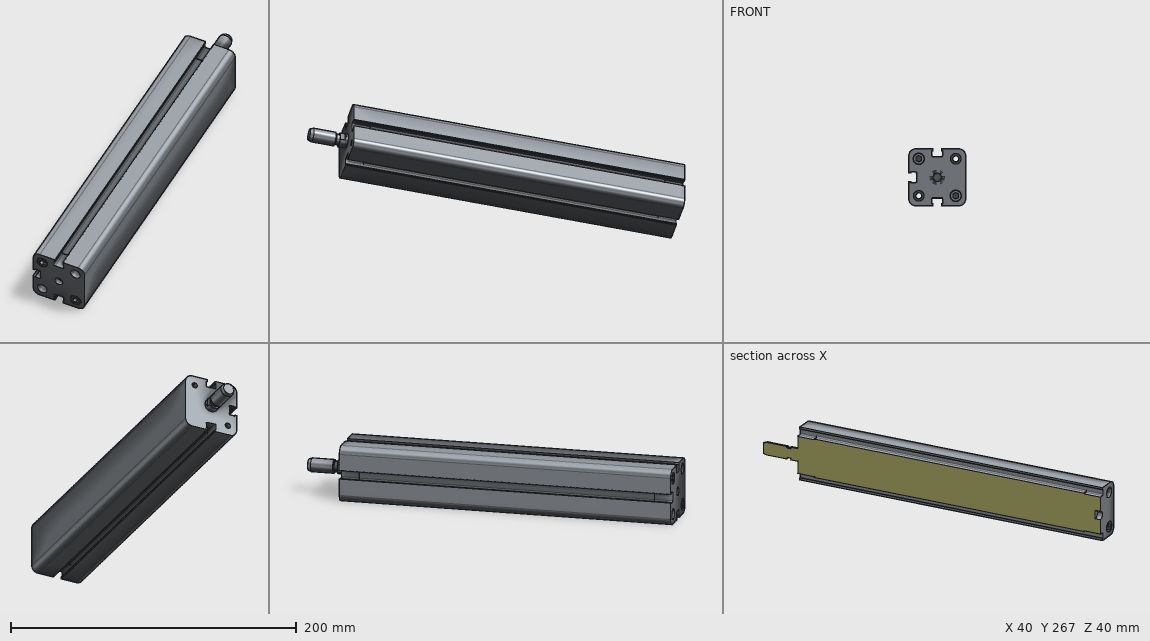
import cadquery as cq

total_length = 267.0
body_width = 40.0
rod_projection = 27.2
cap_length = 13.0
corner_radius = 5.0
body_length = total_length - rod_projection
barrel_length = body_length - 2 * cap_length
rear_y = -total_length / 2
barrel_y = rear_y + cap_length
front_cap_y = barrel_y + barrel_length
front_y = rear_y + body_length
tip_y = total_length / 2

mouth_width = 6.1
channel_width = 7.5
lip_height = 1.5
cap_slot_depth = 6.0
barrel_slot_depth = 5.3
floor_radius = 0.8

fixing_spacing = 26.0
through_diameter = 4.0
counterbore_diameter = 7.5
counterbore_depth = 8.0
screw_pocket_diameter = 8.0
screw_head_diameter = 7.5
screw_gap_depth = 1.0
socket_across_flats = 4.0
socket_depth = 6.0

center_hole_diameter = 6.0
center_hole_depth = 4.0

rod_diameter = 10.0
collar_length = 5.5
flat_start = 1.5
flat_ramp = 0.8
across_flats = 8.0
neck_diameter = 7.5
neck_length = 2.5
land_diameter = 8.0
land_length = 0.8
tip_diameter = 8.0
tip_chamfer_length = 2.5


def along_y(start_y, x=0, z=0):
    """Workplane at start_y with local axes +X and +Z; a negative extrusion runs toward +Y."""
    return cq.Workplane("XZ", origin=(x, start_y, z))


def cylinder(diameter, start_y, length, x=0, z=0):
    return along_y(start_y, x, z).circle(diameter / 2).extrude(-length)


def box(x_size, z_size, start_y, length, z=0):
    return along_y(start_y, z=z).rect(x_size, z_size).extrude(-length)


def make_slot(depth, start_y, length):
    """Slot in the +Z face: straight mouth over a wider channel with rounded floor corners."""
    top = body_width / 2
    channel_height = depth - lip_height
    channel = box(channel_width, channel_height, start_y, length, z=top - depth + channel_height / 2)
    channel = channel.edges("|Y and <Z").fillet(floor_radius)
    mouth = box(mouth_width, lip_height, start_y, length, z=top - lip_height / 2)
    return channel.union(mouth)


def make_body():
    """Rounded square bar with slots in the +Z, -Z and -X sides."""
    body = box(body_width, body_width, rear_y, body_length).edges("|Y").fillet(corner_radius)
    slot = make_slot(cap_slot_depth, rear_y, cap_length)
    slot = slot.union(make_slot(barrel_slot_depth, barrel_y, barrel_length))
    slot = slot.union(make_slot(cap_slot_depth, front_cap_y, cap_length))
    for angle in (0, 180, 270):
        body = body.cut(slot.rotate((0, 0, 0), (0, 1, 0), angle))
    return body


def make_through_hole(x, z):
    """Counterbored hole running the whole length of the body."""
    counterbore = cylinder(counterbore_diameter, rear_y, counterbore_depth, x, z)
    return counterbore.union(cylinder(through_diameter, rear_y, body_length, x, z))


def make_screw_recess(x, z):
    """Narrow ring gap around a flush screw head, and the hexagon socket in the head."""
    pocket = cylinder(screw_pocket_diameter, rear_y, screw_gap_depth, x, z)
    gap = pocket.cut(cylinder(screw_head_diameter, rear_y, screw_gap_depth, x, z))
    socket = along_y(rear_y, x, z).polygon(6, socket_across_flats, circumscribed=True).extrude(-socket_depth)
    return gap.union(socket)


def make_rod():
    """Turned rod, then two flats on the +X and -X sides of the collar with sloping ends."""
    rod_radius = rod_diameter / 2
    neck_radius = neck_diameter / 2
    land_radius = land_diameter / 2
    collar_end_y = front_y + collar_length
    land_y = collar_end_y + neck_length
    thread_y = land_y + land_length
    rod = (
        cq.Workplane("XY")
        .moveTo(0, front_y)
        .lineTo(rod_radius, front_y)
        .lineTo(rod_radius, collar_end_y)
        .lineTo(neck_radius, collar_end_y)
        .lineTo(neck_radius, land_y)
        .lineTo(land_radius, land_y)
        .lineTo(land_radius, thread_y)
        .lineTo(rod_radius, thread_y)
        .lineTo(rod_radius, tip_y - tip_chamfer_length)
        .lineTo(tip_diameter / 2, tip_y)
        .lineTo(0, tip_y)
        .close()
        .revolve(360, (0, 0), (0, 1))
    )
    flat_x = across_flats / 2
    flat_y = front_y + flat_start
    flat_cut = (
        cq.Workplane("XY", origin=(0, 0, -rod_radius))
        .moveTo(rod_radius, flat_y)
        .lineTo(flat_x, flat_y + flat_ramp)
        .lineTo(flat_x, collar_end_y)
        .lineTo(rod_radius, collar_end_y)
        .close()
        .extrude(rod_diameter)
    )
    return rod.cut(flat_cut).cut(flat_cut.mirror("YZ"))


result = make_body().union(make_rod())
offset = fixing_spacing / 2
for side in (-1, 1):
    result = result.cut(make_through_hole(side * offset, side * offset))
    result = result.cut(make_screw_recess(side * offset, -side * offset))
result = result.cut(cylinder(center_hole_diameter, rear_y, center_hole_depth))